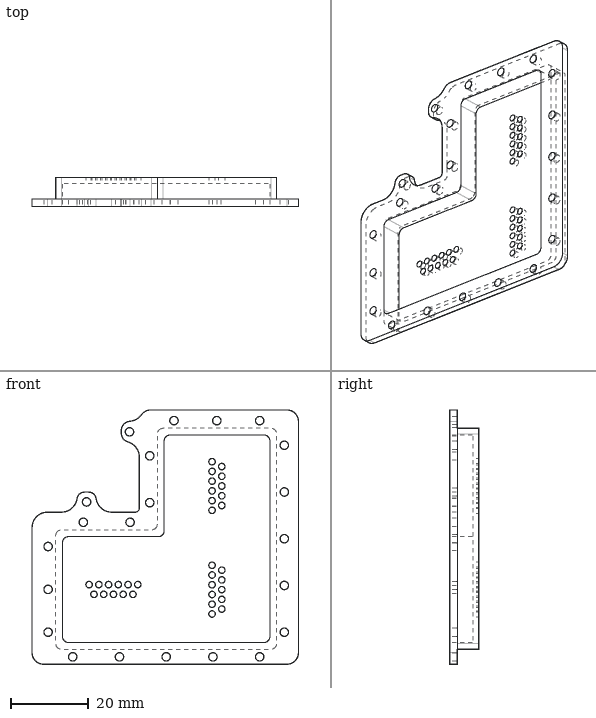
import cadquery as cq
import math


flange_thickness = 2.0
total_depth = 7.5
floor_thickness = 1.5
pocket_depth = total_depth - floor_thickness

width = 68.46
height = 65.35
notch_x = 27.55
notch_z = 39.1
corner_radius = 3.0
left_arm_radius = 4.0
notch_radius = 1.0

blend_radius = 4.0
side_tab_tip = 22.9
side_tab_z = 59.7
side_tab_radius = 2.5
side_tab_half_flat = 0.25
upper_tab_x = 14.03
upper_tab_top = 44.25
upper_tab_radius = 2.0
upper_tab_half_flat = 0.5

bolt_diameter = 2.1
bolt_left = 4.15
bolt_bottom = 1.92
bolt_span = 60.65
bolt_right = bolt_left + bolt_span
bolt_top = bolt_bottom + bolt_span
long_pitch = 12.0
long_count = 5
arm_pitch = 11.0
arm_count = 3
first_bolt_offset = 6.33
inner_row_offset = 34.55
inner_first_offset = 39.6
inner_count = 2
side_tab_hole = (25.05, side_tab_z)
upper_tab_hole = (upper_tab_x, 41.7)

pocket_inset = 3.7
pocket_notch_offset = 30.85
pocket_left = bolt_left + pocket_inset
pocket_right = bolt_right - pocket_inset
pocket_bottom = bolt_bottom + pocket_inset
pocket_top = bolt_top - pocket_inset
pocket_notch_x = bolt_right - pocket_notch_offset
pocket_notch_z = bolt_bottom + pocket_notch_offset
wall = 1.75
box_radius = 1.5

pin_diameter = 1.6
pin_pitch = 2.5
long_line_count = 6
short_line_count = long_line_count - 1
column_groups = [(46.25, 45.78), (46.25, 19.18)]
row_group = (20.93, 20.47)


def polar(center, radius, angle):
    """Point at a radius and angle (radians) from a centre."""
    return (center[0] + radius * math.cos(angle), center[1] + radius * math.sin(angle))


def point_between(start, end, distance):
    """Point at a distance from start on the way to end; the tangent point of two touching arcs."""
    return polar(start, distance, math.atan2(end[1] - start[1], end[0] - start[0]))


def arc_middle(center, radius, start, end):
    """Middle of the shorter arc between two points on a circle."""
    chord_middle = ((start[0] + end[0]) / 2, (start[1] + end[1]) / 2)
    return point_between(center, chord_middle, radius)


def arc_to(sketch, center, radius, start, end):
    """Extend the outline with the shorter arc from start to end."""
    return sketch.threePointArc(arc_middle(center, radius, start, end), end)


def blend_center_outside(first, first_radius, second, second_radius):
    """Centre of the blend arc touching two round corners, on the left of first to second."""
    reach_first = first_radius + blend_radius
    reach_second = second_radius + blend_radius
    gap = math.hypot(second[0] - first[0], second[1] - first[1])
    cosine = (reach_first**2 + gap**2 - reach_second**2) / (2 * reach_first * gap)
    heading = math.atan2(second[1] - first[1], second[0] - first[0])
    return polar(first, reach_first, heading + math.acos(cosine))


def flange_sketch():
    shoulder_z = upper_tab_top - upper_tab_radius
    left_shoulder = (upper_tab_x - upper_tab_half_flat, shoulder_z)
    right_shoulder = (upper_tab_x + upper_tab_half_flat, shoulder_z)
    blend_z = notch_z + blend_radius
    blend_reach = math.sqrt((upper_tab_radius + blend_radius) ** 2 - (shoulder_z - blend_z) ** 2)
    left_blend = (left_shoulder[0] - blend_reach, blend_z)
    right_blend = (right_shoulder[0] + blend_reach, blend_z)
    left_foot = (left_blend[0], notch_z)
    right_foot = (right_blend[0], notch_z)
    left_joint = point_between(left_shoulder, left_blend, upper_tab_radius)
    right_joint = point_between(right_shoulder, right_blend, upper_tab_radius)
    flat_start = (left_shoulder[0], upper_tab_top)
    flat_end = (right_shoulder[0], upper_tab_top)

    shoulder_x = side_tab_tip + side_tab_radius
    low_shoulder = (shoulder_x, side_tab_z - side_tab_half_flat)
    high_shoulder = (shoulder_x, side_tab_z + side_tab_half_flat)
    low_blend_x = notch_x - blend_radius
    drop = math.sqrt((side_tab_radius + blend_radius) ** 2 - (shoulder_x - low_blend_x) ** 2)
    low_blend = (low_blend_x, low_shoulder[1] - drop)
    wall_end = (notch_x, low_blend[1])
    low_joint = point_between(low_shoulder, low_blend, side_tab_radius)
    tip_start = (side_tab_tip, low_shoulder[1])
    tip_end = (side_tab_tip, high_shoulder[1])
    corner = (notch_x + corner_radius, height - corner_radius)
    high_blend = blend_center_outside(high_shoulder, side_tab_radius, corner, corner_radius)
    high_joint = point_between(high_shoulder, high_blend, side_tab_radius)
    corner_joint = point_between(corner, high_blend, corner_radius)
    corner_end = (corner[0], height)

    sketch = cq.Workplane("XZ").moveTo(0, 0).lineTo(0, notch_z).lineTo(*left_foot)
    sketch = arc_to(sketch, left_blend, blend_radius, left_foot, left_joint)
    sketch = arc_to(sketch, left_shoulder, upper_tab_radius, left_joint, flat_start)
    sketch = sketch.lineTo(*flat_end)
    sketch = arc_to(sketch, right_shoulder, upper_tab_radius, flat_end, right_joint)
    sketch = arc_to(sketch, right_blend, blend_radius, right_joint, right_foot)
    sketch = sketch.lineTo(notch_x, notch_z).lineTo(*wall_end)
    sketch = arc_to(sketch, low_blend, blend_radius, wall_end, low_joint)
    sketch = arc_to(sketch, low_shoulder, side_tab_radius, low_joint, tip_start)
    sketch = sketch.lineTo(*tip_end)
    sketch = arc_to(sketch, high_shoulder, side_tab_radius, tip_end, high_joint)
    sketch = arc_to(sketch, high_blend, blend_radius, high_joint, corner_joint)
    sketch = arc_to(sketch, corner, corner_radius, corner_joint, corner_end)
    return sketch.lineTo(width, height).lineTo(width, 0).close()


def round_edge(body, x, z, radius):
    """Round the depthwise edge nearest to a corner of the outline."""
    return body.edges("|Y").edges(cq.NearestToPointSelector((x, flange_thickness / 2, z))).fillet(radius)


def make_flange():
    flange = flange_sketch().extrude(-flange_thickness)
    for x, z in [(0, 0), (width, 0), (width, height)]:
        flange = round_edge(flange, x, z, corner_radius)
    flange = round_edge(flange, 0, notch_z, left_arm_radius)
    return round_edge(flange, notch_x, notch_z, notch_radius)


def rounded_l_block(margin, depth):
    """L-shaped block from the open face, the pocket outline grown outward by a margin."""
    left = pocket_left - margin
    right = pocket_right + margin
    bottom = pocket_bottom - margin
    top = pocket_top + margin
    inner_x = pocket_notch_x - margin
    inner_z = pocket_notch_z + margin
    corners = [
        (left, bottom),
        (left, inner_z),
        (inner_x, inner_z),
        (inner_x, top),
        (right, top),
        (right, bottom),
    ]
    block = cq.Workplane("XZ").polyline(corners).close().extrude(-depth)
    return block.edges("|Y").fillet(box_radius)


def bolt_points():
    points = [side_tab_hole, upper_tab_hole]
    for i in range(long_count):
        offset = first_bolt_offset + i * long_pitch
        points.append((bolt_right - offset, bolt_bottom))
        points.append((bolt_right, bolt_bottom + offset))
    for i in range(arm_count):
        offset = first_bolt_offset + i * arm_pitch
        points.append((bolt_right - offset, bolt_top))
        points.append((bolt_left, bolt_bottom + offset))
    for i in range(inner_count):
        offset = inner_first_offset + i * long_pitch
        points.append((bolt_right - offset, bolt_bottom + inner_row_offset))
        points.append((bolt_right - inner_row_offset, bolt_bottom + offset))
    return points


def line_offsets(count):
    """Positions of evenly pitched pins, centred on zero."""
    return [(i - (count - 1) / 2) * pin_pitch for i in range(count)]


def pin_points():
    points = []
    for line, count in enumerate([long_line_count, short_line_count]):
        shift = line * pin_pitch
        for along in line_offsets(count):
            points.append((row_group[0] + along, row_group[1] - shift))
            for x, z in column_groups:
                points.append((x + shift, z + along))
    return points


def hole_cutter(points, diameter):
    return cq.Workplane("XZ").pushPoints(points).circle(diameter / 2).extrude(-total_depth)


result = make_flange().union(rounded_l_block(wall, total_depth))
result = result.cut(rounded_l_block(0, pocket_depth))
result = result.cut(hole_cutter(bolt_points(), bolt_diameter))
result = result.cut(hole_cutter(pin_points(), pin_diameter))